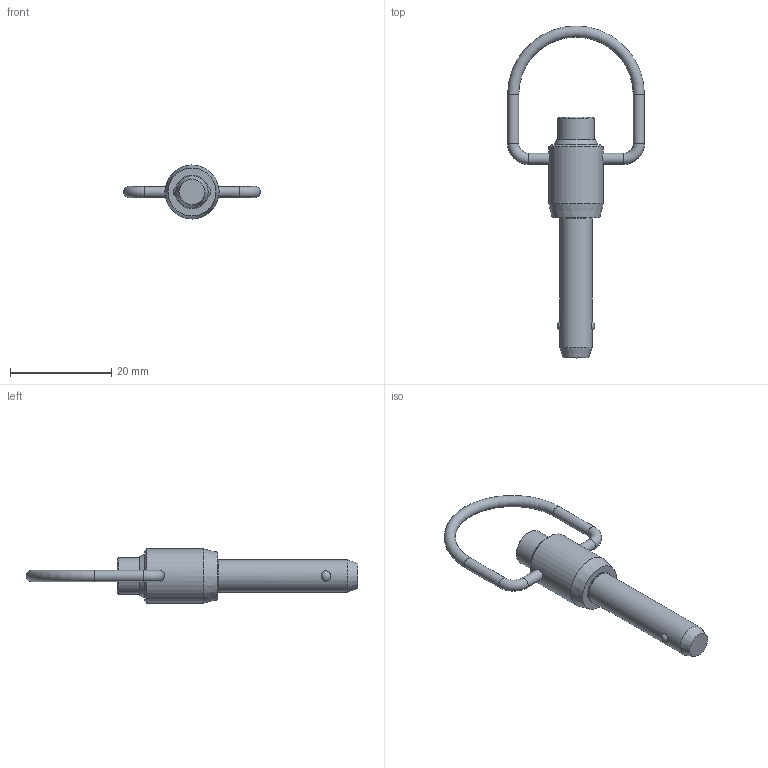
import cadquery as cq


shank_radius = 6.35 / 2
tip_radius = 5.0 / 2
tip_length = 2.0

ball_radius = 1.1
ball_span = 7.36
ball_y = 6.35

band_height = 0.15
band_radius = shank_radius + band_height
band_length = 0.2

collar_start = 27.7
collar_length = 14.4
collar_end = collar_start + collar_length
collar_radius = 10.67 / 2
collar_nose_radius = 9.45 / 2
collar_nose_length = 2.75
collar_chamfer_length = 0.4
collar_chamfer_depth = 0.5

neck_length = 1.0
neck_small_radius = 7.6 / 2
neck_large_radius = 8.6 / 2
button_radius = 7.2 / 2
button_end = 47.5
button_chamfer = 0.2

overall_length = 65.51
ring_width = 27.0
wire_radius = 2.2 / 2
bend_radius = 3.0
wire_y = 39.3
ring_radius = ring_width / 2 - wire_radius
arc_centre_y = overall_length - ring_width / 2


def make_pin():
    """Shank, collar, neck and button turned about the Y axis."""
    neck_end = collar_end + neck_length
    profile = [
        (0, 0),
        (tip_radius, 0),
        (shank_radius, tip_length),
        (shank_radius, collar_start - band_length),
        (band_radius, collar_start - band_length),
        (band_radius, collar_start),
        (collar_nose_radius, collar_start),
        (collar_radius, collar_start + collar_nose_length),
        (collar_radius, collar_end - collar_chamfer_length),
        (collar_radius - collar_chamfer_depth, collar_end),
        (neck_large_radius, collar_end),
        (neck_small_radius, neck_end),
        (button_radius, neck_end),
        (button_radius, button_end - button_chamfer),
        (button_radius - button_chamfer, button_end),
        (0, button_end),
    ]
    return cq.Workplane("XY").polyline(profile).close().revolve(360, (0, 0, 0), (0, 1, 0))


def make_ball(side):
    """Locking ball standing out of the shank on one side (+1 or -1 in X)."""
    ball_x = side * (ball_span / 2 - ball_radius)
    return cq.Workplane("XY").sphere(ball_radius).translate((ball_x, ball_y, 0))


def make_ring():
    """D-shaped wire handle: a half circle, two straight legs and two bends into the collar."""
    leg_end_y = wire_y + bend_radius
    bar_end_x = ring_radius - bend_radius
    path = (
        cq.Workplane("XY")
        .moveTo(0, wire_y)
        .lineTo(bar_end_x, wire_y)
        .radiusArc((ring_radius, leg_end_y), -bend_radius)
        .lineTo(ring_radius, arc_centre_y)
        .threePointArc((0, arc_centre_y + ring_radius), (-ring_radius, arc_centre_y))
        .lineTo(-ring_radius, leg_end_y)
        .radiusArc((-bar_end_x, wire_y), -bend_radius)
        .close()
    )
    return cq.Workplane("YZ").center(wire_y, 0).circle(wire_radius).sweep(path)


result = make_pin().union(make_ring())
for side in (-1, 1):
    result = result.union(make_ball(side))